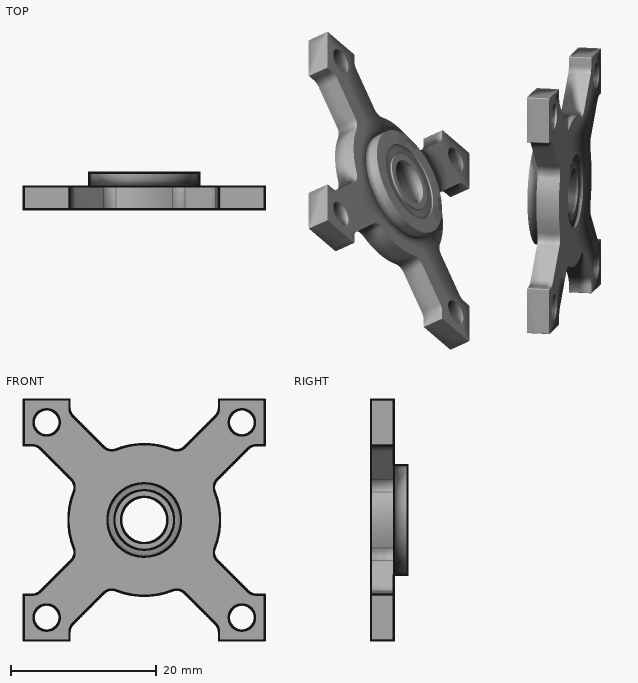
import cadquery as cq
import math

plate_thickness = 3.175
plate_span = 33.27
disc_radius = 10.48
pad_size = 6.35
arm_width = 6.35
mount_hole_diameter = 3.57
arm_fillet = 1.5875
pad_corner_radius = 0.127

bearing_bore = 6.35
bearing_diameter = 12.7
bearing_width = 4.7625
inner_race_diameter = 8.23
outer_race_bore = 11.1
shield_recess = 0.254

lip_thickness = 0.3175
lip_diameter = 10.16
housing_wall = 1.27
housing_diameter = bearing_diameter + 2 * housing_wall
housing_rear = lip_thickness + bearing_width

plate_edge = plate_span / 2
pad_center = plate_edge - pad_size / 2
pad_inner_edge = plate_edge - pad_size
pad_centers = [(sx * pad_center, sz * pad_center) for sx in (-1, 1) for sz in (-1, 1)]
arm_corner = pad_inner_edge + arm_width / math.sqrt(2)
arm_root = math.sqrt(disc_radius**2 - (arm_width / 2) ** 2)
root_far = (arm_root + arm_width / 2) / math.sqrt(2)
root_near = (arm_root - arm_width / 2) / math.sqrt(2)


def cylinder(diameter, y_front, y_rear):
    """Round bar about the Y axis between two Y positions."""
    return cq.Workplane("XZ", origin=(0, y_front, 0)).circle(diameter / 2).extrude(y_front - y_rear)


def corner_edges(body, near, far):
    """Edges along Y whose distances from the X and Z planes are near and far, in either order."""
    tolerance = 0.01

    def matches(edge):
        center = edge.Center()
        return math.dist(sorted((abs(center.x), abs(center.z))), (near, far)) < tolerance

    return body.newObject([edge for edge in body.edges("|Y").vals() if matches(edge)])


def make_spider():
    """Central disc with four diagonal arms, each ending in a square pad."""
    body = cylinder(2 * disc_radius, 0, plate_thickness)
    arm_pair_length = 2 * math.sqrt(2) * pad_center
    for angle in (45, -45):
        arm_pair = cq.Workplane("XZ").rect(arm_pair_length, arm_width).extrude(-plate_thickness)
        body = body.union(arm_pair.rotate((0, 0, 0), (0, 1, 0), angle))
    pads = cq.Workplane("XZ").pushPoints(pad_centers).rect(pad_size, pad_size).extrude(-plate_thickness)
    body = body.union(pads)

    body = corner_edges(body, root_near, root_far).fillet(arm_fillet)
    body = corner_edges(body, pad_inner_edge, arm_corner).fillet(arm_fillet)
    for pad_side in (plate_edge, pad_inner_edge):
        body = corner_edges(body, pad_side, plate_edge).fillet(pad_corner_radius)
    return body


def make_plate():
    """Spider with its rear bearing housing, bearing seat and mounting holes."""
    body = make_spider().union(cylinder(housing_diameter, 0, housing_rear))
    body = body.cut(cylinder(lip_diameter, 0, lip_thickness))
    body = body.cut(cylinder(bearing_diameter, lip_thickness, housing_rear))
    mount_holes = (
        cq.Workplane("XZ")
        .pushPoints(pad_centers)
        .circle(mount_hole_diameter / 2)
        .extrude(-plate_thickness)
    )
    return body.cut(mount_holes)


def shield_groove(y_front, y_rear):
    """Ring-shaped recess between the inner and outer races."""
    return cylinder(outer_race_bore, y_front, y_rear).cut(cylinder(inner_race_diameter, y_front, y_rear))


def make_bearing():
    """Ball bearing as one solid, with a shallow shield recess in each end."""
    front = lip_thickness
    rear = housing_rear
    body = cylinder(bearing_diameter, front, rear).cut(cylinder(bearing_bore, front, rear))
    body = body.cut(shield_groove(front, front + shield_recess))
    return body.cut(shield_groove(rear - shield_recess, rear))


plate = make_plate()
bearing = make_bearing()
result = cq.Compound.makeCompound([plate.val(), bearing.val()])